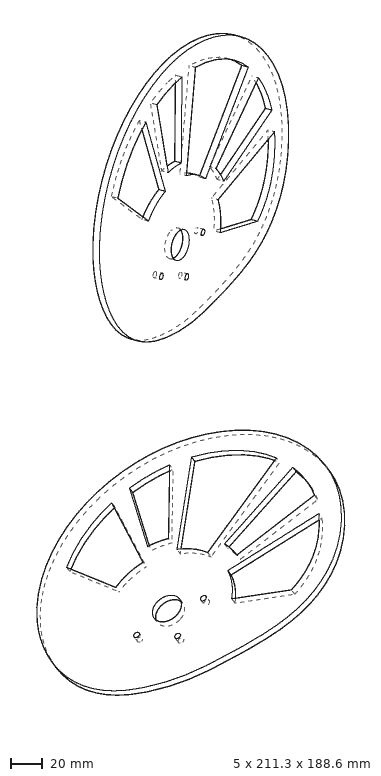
import cadquery as cq
import math

thickness = 5.0
rim_width = 15.5
rim_samples = 40
shaft_diameter = 20.0
pin_diameter = 4.0
pin_circle_radius = 25.3
pin_angles = (0, -73, -146)
wide_window_inner_radius = 45.5
narrow_window_inner_radius = 55.5
side_overrun = 0.3

cam_points = [
    (-90.0, 18.8),
    (-87.2, 50.3),
    (-71.2, 85.0),
    (-41.0, 113.5),
    (0, 129.0),
    (34.6, 129.2),
    (68.5, 118.5),
    (96.7, 96.7),
    (115.3, 66.5),
    (121.0, 32.5),
    (114.3, 0),
    (95.5, -25.5),
    (70.5, -40.5),
    (42.2, -50.3),
    (15.2, -56.8),
    (-10.5, -58.0),
    (-37.4, -53.5),
    (-59.3, -41.5),
    (-77.5, -20.7),
]

windows = [
    (wide_window_inner_radius, ((42.2, 16.5), (105.0, 41.2)), ((44.8, -6.8), (86.2, -13.0))),
    (narrow_window_inner_radius, ((39.5, 38.0), (86.5, 83.5)), ((48.4, 26.8), (101.8, 56.8))),
    (wide_window_inner_radius, ((28.0, 35.3), (75.5, 94.6)), ((7.0, 44.8), (17.1, 115.0))),
    (narrow_window_inner_radius, ((1.0, 55.0), (2.0, 113.8)), ((-13.3, 53.6), (-26.0, 104.5))),
    (wide_window_inner_radius, ((-16.5, 41.8), (-38.5, 97.0)), ((-35.0, 28.0), (-70.0, 55.8))),
]


def disc(radius, y=0, z=0):
    return cq.Workplane("YZ").center(y, z).circle(radius).extrude(thickness)


def cam_outline():
    return cq.Workplane("YZ").spline(cam_points, periodic=True).wire()


def rim_inner_outline():
    """Smooth outline at a constant distance inside the cam outline, which runs clockwise."""
    cam_edge = cam_outline().edges().val()
    inset_points = []
    for index in range(rim_samples):
        position = index / rim_samples
        point = cam_edge.positionAt(position)
        tangent = cam_edge.tangentAt(position)
        inset_points.append((point.y + rim_width * tangent.z, point.z - rim_width * tangent.y))
    return cq.Workplane("YZ").spline(inset_points, periodic=True).wire()


def along(start, end, fraction):
    """Point on the line through start and end."""
    return tuple(a + (b - a) * fraction for a, b in zip(start, end))


def window_cutter(inner_radius, first_side, second_side, rim_limit):
    """Sector between two straight sides, trimmed by the rim and by the hub circle."""
    corners = [
        along(*first_side, -side_overrun),
        along(*first_side, 1 + side_overrun),
        along(*second_side, 1 + side_overrun),
        along(*second_side, -side_overrun),
    ]
    sector = cq.Workplane("YZ").polyline(corners).close().extrude(thickness)
    return sector.intersect(rim_limit).cut(disc(inner_radius))


result = cam_outline().extrude(thickness)

rim_limit = rim_inner_outline().extrude(thickness)
for inner_radius, first_side, second_side in windows:
    result = result.cut(window_cutter(inner_radius, first_side, second_side, rim_limit))

result = result.cut(disc(shaft_diameter / 2))
for angle in pin_angles:
    pin_y = pin_circle_radius * math.cos(math.radians(angle))
    pin_z = pin_circle_radius * math.sin(math.radians(angle))
    result = result.cut(disc(pin_diameter / 2, pin_y, pin_z))